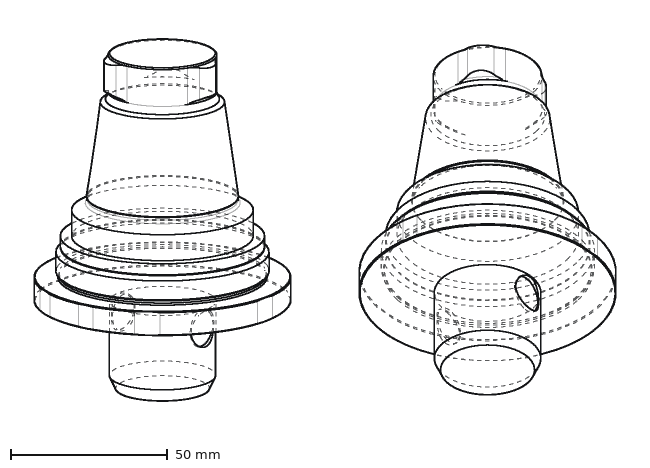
import cadquery as cq
import math


flange_radius = 41.0
flange_thickness = 8.0
flange_edge_chamfer = 0.3
wide_flat_distance = 40.8
narrow_flat_distance = 40.9
wide_flat_angles = (0, 180, 240, 300)
narrow_flat_angles = (90, 270)

shank_radius = 34.0 / 2
shank_length = 29.0
shank_tip_radius = 15.0
shank_tip_angle = 25.0

recess_diameter = 12.0
recess_drop = 6.4
recess_floor_x = 15.5

groove_radius = 66.1 / 2
groove_shoulder_radius = 33.4
groove_bottom_z = 0.6
groove_top_z = 1.3
band_radius = 68.0 / 2
band_bottom_z = 1.9
band_chamfer_z = 8.2
band_top_z = 9.5
ring_neck_radius = 64.96 / 2
ring_radius = 32.6
ring_bottom_z = 9.8
ring_top_z = 13.5
hub_radius = 58.0 / 2
hub_top_z = 22.1
hub_cone_angle = 30.0

relief_radius = 24.1
relief_fillet_radius = 1.2
relief_top_z = 26.4
taper_base_radius = 24.3
taper_base_z = 26.7
taper_top_radius = 19.85
taper_top_z = 57.9
taper_edge_angle = 30.0

neck_start_radius = 18.2
head_radius = 17.35
head_bottom_z = 61.4
head_top_z = 74.0
head_edge_chamfer = 0.5

lobe_count = 3
lobe_tip_distance = 19.8
lobe_nose_radius = 6.0
lobe_blend_radius = 12.0
lobe_top_angle = 15.0
lobe_underside_angle = 30.0
lobe_tip_bottom_z = 63.4
lobe_underside_fillet = 1.0


def rise(run, angle):
    """Height gained over a horizontal run on a slope given in degrees."""
    return run * math.tan(math.radians(angle))


def corner_fillet(radius, corner_z, slope_angle, size, upward):
    """Points of a concave fillet between a vertical wall and a slope running outward from its foot.

    slope_angle is measured from horizontal. upward is True where the slope climbs outward,
    False where it drops. Returns the wall end, the middle and the slope end as (radius, z).
    """
    slope = math.radians(slope_angle)
    half_turn = (math.pi / 2 - slope) / 2
    tangent_length = size * math.tan(half_turn)
    side = 1 if upward else -1
    wall_end = (radius, corner_z - side * tangent_length)
    middle = (
        radius + size * (1 - math.cos(half_turn)),
        wall_end[1] + side * size * math.sin(half_turn),
    )
    slope_end = (
        radius + tangent_length * math.cos(slope),
        corner_z + side * tangent_length * math.sin(slope),
    )
    return wall_end, middle, slope_end


def make_body():
    """Turned body: shank, flange, steps, taper and head."""
    flange_bottom = -flange_thickness
    shank_bottom = flange_bottom - shank_length
    tip_height = (shank_radius - shank_tip_radius) / math.tan(math.radians(shank_tip_angle))
    flange_rim = flange_radius - flange_edge_chamfer
    hub_cone_top_z = hub_top_z + rise(hub_radius - relief_radius, hub_cone_angle)
    relief_fillet = corner_fillet(
        relief_radius, hub_cone_top_z, hub_cone_angle, relief_fillet_radius, upward=False
    )
    relief_wall_end, relief_fillet_middle, relief_cone_end = relief_fillet
    neck_start_z = taper_top_z + rise(taper_top_radius - neck_start_radius, taper_edge_angle)
    neck_width = neck_start_radius - head_radius
    neck_height = head_bottom_z - neck_start_z
    neck_arc_radius = (neck_width**2 + neck_height**2) / (2 * neck_width)
    neck_mid_z = (neck_start_z + head_bottom_z) / 2
    neck_mid_radius = head_radius + neck_arc_radius - math.sqrt(neck_arc_radius**2 - (neck_height / 2) ** 2)
    return (
        cq.Workplane("XZ")
        .moveTo(0, shank_bottom)
        .lineTo(shank_tip_radius, shank_bottom)
        .lineTo(shank_radius, shank_bottom + tip_height)
        .lineTo(shank_radius, flange_bottom)
        .lineTo(flange_rim, flange_bottom)
        .lineTo(flange_radius, flange_bottom + flange_edge_chamfer)
        .lineTo(flange_radius, -flange_edge_chamfer)
        .lineTo(flange_rim, 0)
        .lineTo(groove_shoulder_radius, 0)
        .lineTo(groove_radius, groove_bottom_z)
        .lineTo(groove_radius, groove_top_z)
        .lineTo(band_radius, band_bottom_z)
        .lineTo(band_radius, band_chamfer_z)
        .lineTo(ring_neck_radius, band_top_z)
        .lineTo(ring_neck_radius, ring_bottom_z)
        .lineTo(ring_radius, ring_bottom_z)
        .lineTo(ring_radius, ring_top_z)
        .lineTo(hub_radius, ring_top_z)
        .lineTo(hub_radius, hub_top_z)
        .lineTo(*relief_cone_end)
        .threePointArc(relief_fillet_middle, relief_wall_end)
        .lineTo(relief_radius, relief_top_z)
        .lineTo(taper_base_radius, taper_base_z)
        .lineTo(taper_top_radius, taper_top_z)
        .lineTo(neck_start_radius, neck_start_z)
        .threePointArc((neck_mid_radius, neck_mid_z), (head_radius, head_bottom_z))
        .lineTo(head_radius, head_top_z - head_edge_chamfer)
        .lineTo(head_radius - head_edge_chamfer, head_top_z)
        .lineTo(0, head_top_z)
        .close()
        .revolve(360, (0, 0), (0, 1))
    )


def lobe_outline():
    """Rounded nose on +X, blended into the head by two concave arcs."""
    nose_x = lobe_tip_distance - lobe_nose_radius
    blend_reach = head_radius + lobe_blend_radius
    nose_reach = lobe_nose_radius + lobe_blend_radius
    cos_blend = (blend_reach**2 + nose_x**2 - nose_reach**2) / (2 * blend_reach * nose_x)
    blend_angle = math.acos(cos_blend)
    blend_x = blend_reach * math.cos(blend_angle)
    blend_y = blend_reach * math.sin(blend_angle)
    head_x = head_radius * math.cos(blend_angle)
    head_y = head_radius * math.sin(blend_angle)
    nose_share = lobe_nose_radius / nose_reach
    nose_end_x = nose_x + (blend_x - nose_x) * nose_share
    nose_end_y = blend_y * nose_share
    toward_middle_x = (head_x + nose_end_x) / 2 - blend_x
    toward_middle_y = (head_y + nose_end_y) / 2 - blend_y
    middle_scale = lobe_blend_radius / math.hypot(toward_middle_x, toward_middle_y)
    middle_x = blend_x + toward_middle_x * middle_scale
    middle_y = blend_y + toward_middle_y * middle_scale
    return (
        cq.Workplane("XY")
        .lineTo(head_x, -head_y)
        .threePointArc((middle_x, -middle_y), (nose_end_x, -nose_end_y))
        .threePointArc((lobe_tip_distance, 0), (nose_end_x, nose_end_y))
        .threePointArc((middle_x, middle_y), (head_x, head_y))
        .close()
    )


def make_lobes():
    """Lobes around the head, trimmed by a sloped top and a conical underside."""
    top_edge_z = head_top_z - head_edge_chamfer
    tip_top_z = top_edge_z - rise(lobe_tip_distance - head_radius, lobe_top_angle)
    underside_corner_z = lobe_tip_bottom_z - rise(lobe_tip_distance - head_radius, lobe_underside_angle)
    underside_fillet = corner_fillet(
        head_radius, underside_corner_z, lobe_underside_angle, lobe_underside_fillet, upward=True
    )
    underside_wall_end, underside_middle, underside_cone_start = underside_fillet
    envelope = (
        cq.Workplane("XZ")
        .moveTo(0, underside_wall_end[1])
        .lineTo(*underside_wall_end)
        .threePointArc(underside_middle, underside_cone_start)
        .lineTo(lobe_tip_distance, lobe_tip_bottom_z)
        .lineTo(lobe_tip_distance, tip_top_z)
        .lineTo(head_radius, top_edge_z)
        .lineTo(0, top_edge_z)
        .close()
        .revolve(360, (0, 0), (0, 1))
    )
    lobe = lobe_outline().extrude(head_top_z).intersect(envelope)
    lobes = lobe
    for index in range(1, lobe_count):
        lobes = lobes.union(lobe.rotate((0, 0, 0), (0, 0, 1), index * 360 / lobe_count))
    return lobes


def flat_cutter(distance, angle):
    """Block that leaves a flat on the flange rim at the given distance and angle."""
    block = cq.Workplane("XY").box(
        flange_radius, flange_radius, flange_thickness, centered=(False, True, False)
    )
    return block.translate((distance, 0, -flange_thickness)).rotate((0, 0, 0), (0, 0, 1), angle)


def recess_cutter(side):
    """Flat-bottomed round recess; side is +1 or -1 along X."""
    depth = shank_radius - recess_floor_x
    return (
        cq.Workplane("YZ", origin=(side * recess_floor_x, 0, 0))
        .center(0, -flange_thickness - recess_drop)
        .circle(recess_diameter / 2)
        .extrude(side * depth)
    )


result = make_body().union(make_lobes())
for flat_angle in wide_flat_angles:
    result = result.cut(flat_cutter(wide_flat_distance, flat_angle))
for flat_angle in narrow_flat_angles:
    result = result.cut(flat_cutter(narrow_flat_distance, flat_angle))
for recess_side in (-1, 1):
    result = result.cut(recess_cutter(recess_side))